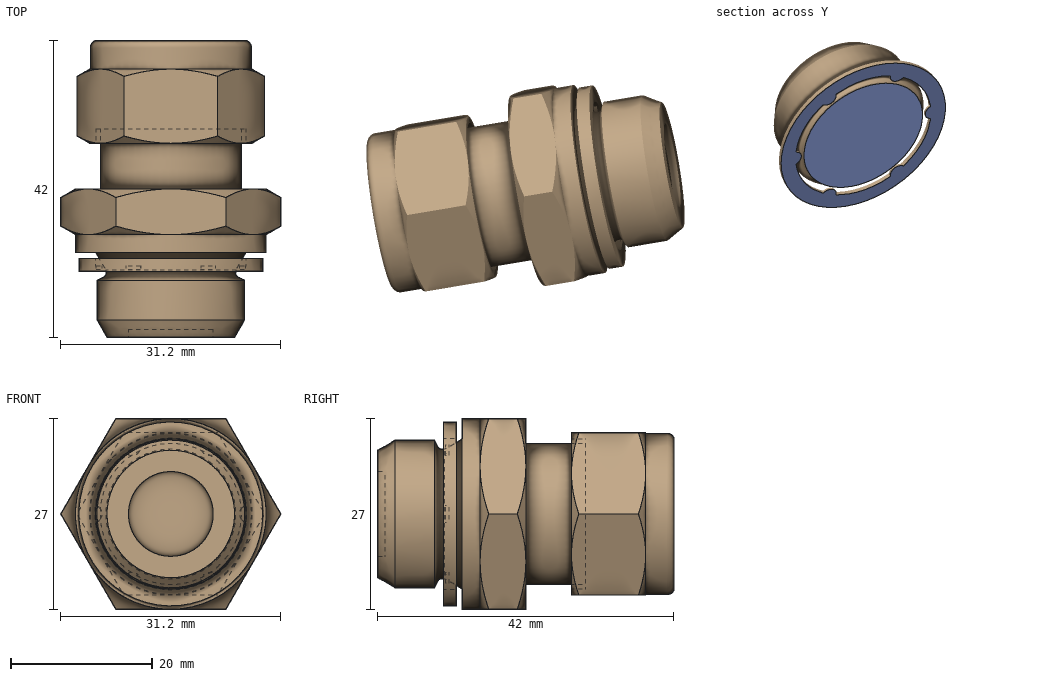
import cadquery as cq
import math


TIP_CHAMFER_Y = 2.48
THREAD_END_Y = 8.05
THREAD_CONE_Y = 8.53
GROOVE_FRONT_Y = 9.2
FLANGE_FRONT_Y = 11.95
FLANGE_BACK_Y = 14.55
BODY_HEX_BACK_Y = 21.0
NUT_FRONT_Y = 27.45
NUT_BACK_Y = 37.95
TOTAL_LENGTH = 42.0

TIP_RADIUS = 9.05
THREAD_RADIUS = 10.45
GROOVE_CONE_RADIUS = 9.55
GROOVE_RADIUS = 9.2
GROOVE_BACK_RADIUS = 10.63
GROOVE_BACK_ANGLE = 30.0
NECK_RADIUS = 10.0
COLLAR_RADIUS = 11.42
COLLAR_ROUND_DEPTH = 1.0
COLLAR_END_RADIUS = 10.75

BODY_HEX_FLATS = 27.0
NUT_HEX_FLATS = 23.0
HEX_CHAMFER_ANGLE = 30.0
FLANGE_RADIUS = BODY_HEX_FLATS / 2

BORE_RADIUS = 6.0
BORE_DEPTH = 1.1
NUT_RECESS_RADIUS = 10.63
NUT_RECESS_DEPTH = 2.0

WASHER_FRONT_Y = 9.32
WASHER_THICKNESS = 1.85
WASHER_RADIUS = 13.0
WASHER_BORE_RADIUS = 10.65
TAB_COUNT = 6
TAB_ROUND_RADIUS = 1.25
TAB_INNER_RADIUS = 9.75
TAB_RECESS = 0.3
TAB_THICKNESS = 0.5


def cylinder(radius, start_y, end_y):
    """Cylinder on the Y axis between two stations."""
    axis_plane = cq.Workplane("XZ", origin=(0, start_y, 0))
    return axis_plane.circle(radius).extrude(start_y - end_y)


def revolve_about_y(profile):
    """Full turn of a closed XY profile about the Y axis."""
    return profile.close().revolve(360, (0, 0, 0), (0, 1, 0))


def chamfered_hexagon(flats, start_y, end_y):
    """Hexagonal prism with corners on the X axis, both ends turned down to the flats."""
    corner_radius = flats / 2 / math.cos(math.radians(30))
    chamfer_depth = (corner_radius - flats / 2) * math.tan(math.radians(HEX_CHAMFER_ANGLE))
    prism = (
        cq.Workplane("XZ", origin=(0, start_y, 0))
        .polygon(6, 2 * corner_radius)
        .extrude(start_y - end_y)
    )
    turned_envelope = revolve_about_y(
        cq.Workplane("XY")
        .moveTo(0, start_y)
        .lineTo(flats / 2, start_y)
        .lineTo(corner_radius, start_y + chamfer_depth)
        .lineTo(corner_radius, end_y - chamfer_depth)
        .lineTo(flats / 2, end_y)
        .lineTo(0, end_y)
    )
    return prism.intersect(turned_envelope)


def threaded_end():
    """Chamfered spigot with the seal groove behind it, up to the flange."""
    cone_length = (GROOVE_BACK_RADIUS - GROOVE_RADIUS) / math.tan(math.radians(GROOVE_BACK_ANGLE))
    groove_back_y = FLANGE_FRONT_Y - cone_length
    return revolve_about_y(
        cq.Workplane("XY")
        .lineTo(TIP_RADIUS, 0)
        .lineTo(THREAD_RADIUS, TIP_CHAMFER_Y)
        .lineTo(THREAD_RADIUS, THREAD_END_Y)
        .lineTo(GROOVE_CONE_RADIUS, THREAD_CONE_Y)
        .tangentArcPoint((GROOVE_RADIUS, GROOVE_FRONT_Y), relative=False)
        .lineTo(GROOVE_RADIUS, groove_back_y)
        .lineTo(GROOVE_BACK_RADIUS, FLANGE_FRONT_Y)
        .lineTo(0, FLANGE_FRONT_Y)
    )


def end_collar():
    """Round collar behind the nut hexagon with a rounded outer edge."""
    round_start_y = TOTAL_LENGTH - COLLAR_ROUND_DEPTH
    return revolve_about_y(
        cq.Workplane("XY")
        .moveTo(0, NUT_BACK_Y)
        .lineTo(COLLAR_RADIUS, NUT_BACK_Y)
        .lineTo(COLLAR_RADIUS, round_start_y)
        .tangentArcPoint((COLLAR_END_RADIUS, TOTAL_LENGTH), relative=False)
        .lineTo(0, TOTAL_LENGTH)
    )


def make_fitting():
    """Threaded body, neck, nut hexagon and collar as one solid."""
    nut_recess_end_y = NUT_FRONT_Y + NUT_RECESS_DEPTH
    nut_recess = cylinder(NUT_RECESS_RADIUS, NUT_FRONT_Y, nut_recess_end_y)
    nut = chamfered_hexagon(NUT_HEX_FLATS, NUT_FRONT_Y, NUT_BACK_Y).cut(nut_recess)
    return (
        threaded_end()
        .union(cylinder(FLANGE_RADIUS, FLANGE_FRONT_Y, FLANGE_BACK_Y))
        .union(chamfered_hexagon(BODY_HEX_FLATS, FLANGE_BACK_Y, BODY_HEX_BACK_Y))
        .union(nut)
        .union(cylinder(NECK_RADIUS, BODY_HEX_BACK_Y, nut_recess_end_y))
        .union(end_collar())
        .cut(cylinder(BORE_RADIUS, 0, BORE_DEPTH))
    )


def washer_tabs():
    """Thin round-nosed tabs pointing inward from the washer bore, clear of the groove cone."""
    tab_circle_radius = TAB_INNER_RADIUS + TAB_ROUND_RADIUS
    return (
        cq.Workplane("XZ", origin=(0, WASHER_FRONT_Y + TAB_RECESS, 0))
        .polarArray(tab_circle_radius, 0, 360, TAB_COUNT)
        .circle(TAB_ROUND_RADIUS)
        .extrude(-TAB_THICKNESS)
    )


def make_washer():
    """Flat ring around the seal groove, with retaining tabs inside its bore."""
    washer_back_y = WASHER_FRONT_Y + WASHER_THICKNESS
    bore = cylinder(WASHER_BORE_RADIUS, WASHER_FRONT_Y, washer_back_y)
    ring = cylinder(WASHER_RADIUS, WASHER_FRONT_Y, washer_back_y).cut(bore)
    return ring.union(washer_tabs())


fitting = make_fitting()
washer = make_washer()
result = cq.Compound.makeCompound([fitting.val(), washer.val()])